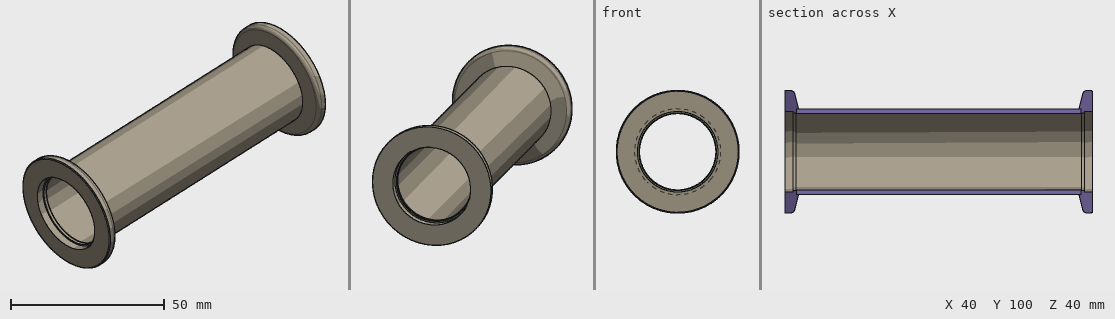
import cadquery as cq
import math

total_length = 100.0
flange_radius = 20.0
tube_outer_radius = 14.0
tube_inner_radius = 12.4

flange_length = 4.5
rim_width = 1.8
rim_round = 1.5
cone_angle = math.radians(15)
recess_radius = 13.1
recess_depth = 2.6
flange_bore_radius = 12.6
socket_depth = 3.6
front_chamfer = 0.3

tube_length = total_length - 2 * socket_depth


def make_tube():
    """Plain round pipe between the flanges."""
    return (
        cq.Workplane("XZ", origin=(0, tube_length / 2, 0))
        .circle(tube_outer_radius)
        .circle(tube_inner_radius)
        .extrude(tube_length)
    )


def make_flange(end, edge_chamfer):
    """Flange at the -Y end (end = -1) or the +Y end (end = 1).

    An edge_chamfer of 0 leaves the outer edge of the sealing face sharp.
    """
    face_y = end * total_length / 2

    def at(radius, depth):
        """Profile point at a radius and a depth behind the sealing face."""
        return (radius, face_y - end * depth)

    round_centre_radius = flange_radius - rim_round
    half_sweep = (math.pi / 2 - cone_angle) / 2

    def on_round(angle):
        """Point on the rim round, with the angle measured from the rim."""
        return at(
            round_centre_radius + rim_round * math.cos(angle),
            rim_width + rim_round * math.sin(angle),
        )

    flange = (
        cq.Workplane("XY")
        .moveTo(*at(recess_radius, 0))
        .lineTo(*at(flange_radius, 0))
        .lineTo(*at(flange_radius, rim_width))
        .threePointArc(on_round(half_sweep), on_round(2 * half_sweep))
        .lineTo(*at(tube_outer_radius, flange_length))
        .lineTo(*at(tube_outer_radius, socket_depth))
        .lineTo(*at(flange_bore_radius, socket_depth))
        .lineTo(*at(flange_bore_radius, recess_depth))
        .lineTo(*at(recess_radius, recess_depth))
        .close()
        .revolve(360, (0, 0, 0), (0, 1, 0))
    )
    if edge_chamfer:
        face_edges = flange.faces("<Y" if end < 0 else ">Y").edges()
        outer_edge = face_edges.filter(lambda edge: edge.radius() > recess_radius)
        flange = outer_edge.chamfer(edge_chamfer)
    return flange


tube = make_tube()
flanges = [make_flange(-1, front_chamfer), make_flange(1, 0)]

result = cq.Compound.makeCompound([tube.val(), *[flange.val() for flange in flanges]])